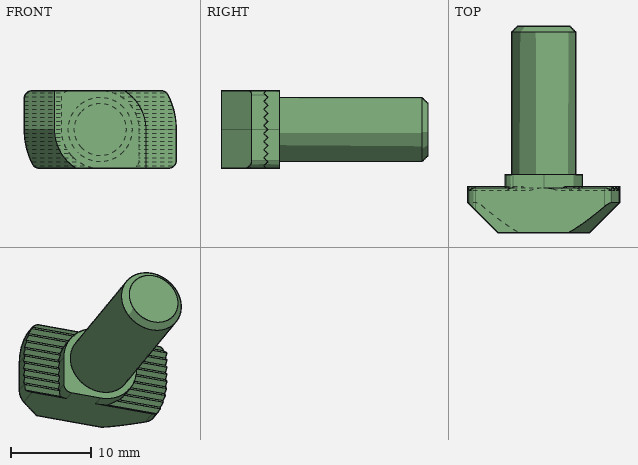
import cadquery as cq
import math

total_length = 25.8
head_length = 19.0
head_width = 9.7
head_height = 5.8
collar_top = 7.28
shank_diameter = 8.0
tip_chamfer = 0.75
corner_radius = 1.0
tooth_pitch = 1.0
tooth_depth = tooth_pitch / 2

half_length = head_length / 2
half_width = head_width / 2
taper_height = 3.8
base_half_length = half_length - taper_height


def quarter_turn_outline(reach):
    """Outline with two square corners and two corners swept by an arc about the axis.

    The square corners lie at (-X, +Z) and (+X, -Z), so the part can turn in its slot.
    """
    arc_end = math.sqrt(reach**2 - half_width**2)
    arc_angle = math.asin(half_width / reach) / 2
    mid_x = reach * math.cos(arc_angle)
    mid_z = reach * math.sin(arc_angle)
    return (
        cq.Workplane("XZ")
        .moveTo(-reach, half_width)
        .lineTo(arc_end, half_width)
        .threePointArc((mid_x, mid_z), (reach, 0))
        .lineTo(reach, -half_width)
        .lineTo(-arc_end, -half_width)
        .threePointArc((-mid_x, -mid_z), (-reach, 0))
        .close()
    )


def tapered_envelope():
    """Head side profile: straight slopes by the square corners, cones by the swept ones."""
    right_half = [
        (0, 0),
        (base_half_length, 0),
        (half_length, taper_height),
        (half_length, head_height),
        (0, head_height),
    ]
    cone = cq.Workplane("XY").polyline(right_half).close().revolve(360, (0, 0), (0, 1))
    straight_end = cq.Workplane("XY").polyline(right_half).close().extrude(-half_width)
    other_end = straight_end.rotate((0, 0, 0), (0, 1, 0), 180)
    return cone.union(straight_end).union(other_end)


def serration_grooves():
    """V grooves along X across the clamping face of the head."""
    grooves_per_side = math.ceil(half_width / tooth_pitch)
    outline = cq.Workplane("YZ")
    for index in range(-grooves_per_side, grooves_per_side):
        start = index * tooth_pitch
        outline = (
            outline
            .moveTo(head_height, start)
            .lineTo(head_height - tooth_depth, start + tooth_pitch / 2)
            .lineTo(head_height, start + tooth_pitch)
            .close()
        )
    return outline.extrude(half_length, both=True)


def make_head():
    block = quarter_turn_outline(half_length).extrude(-head_height)
    block = block.edges("|Y").edges(">Z or <Z").fillet(corner_radius)
    return block.intersect(tapered_envelope()).cut(serration_grooves())


def make_collar():
    collar = quarter_turn_outline(half_width).extrude(-collar_top)
    for side in (-1, 1):
        corner = (side * half_width, collar_top / 2, -side * half_width)
        collar = collar.edges(cq.selectors.NearestToPointSelector(corner)).fillet(corner_radius)
    return collar


def make_shank():
    shank = cq.Workplane("XZ").circle(shank_diameter / 2).extrude(-total_length)
    return shank.faces(">Y").chamfer(tip_chamfer)


result = make_head().union(make_collar()).union(make_shank())